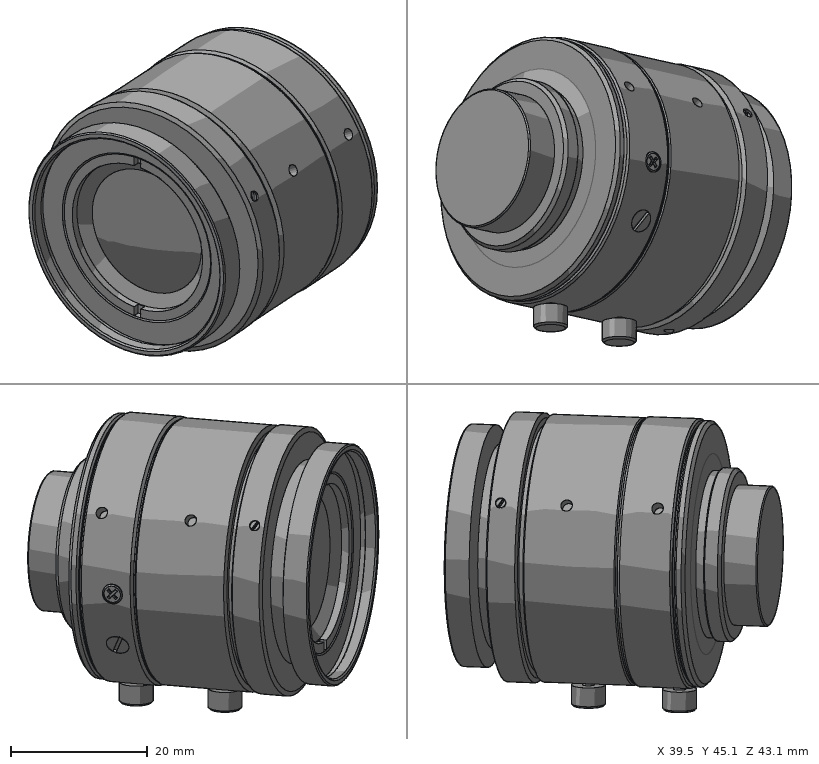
import cadquery as cq
import math

FULL_LENGTH = 45.15

RIM_END, RIM_DIA = 3.75, 35.5
FRONT_NECK_END, FRONT_NECK_DIA = 6.5, 30.0
FRONT_NECK_START = 4.5
FRONT_RING_END, RING_DIA = 11.2, 39.5
FRONT_GROOVE_END, FRONT_GROOVE_DIA = 11.95, 36.2
MIDDLE_RING_END, MIDDLE_RING_DIA = 25.85, 39.2
MIDDLE_GROOVE_END, MIDDLE_GROOVE_DIA = 26.1, 38.6
REAR_RING_END = 34.25
REAR_GROOVE_END, REAR_GROOVE_DIA = 34.55, 37.6
PLATE_END, PLATE_DIA = 36.1, 39.0
SHOULDER_END, SHOULDER_DIA = 36.4, 29.4
MOUNT_NECK_END, MOUNT_NECK_DIA = 37.6, 24.5
FLANGE_END, FLANGE_DIA = 40.2, 25.4
MOUNT_DIA = 20.55

NO_BREAK = (0, 0)
FINE_BREAK = (0.2, 0.2)
SMALL_BREAK = (0.3, 0.3)
MEDIUM_BREAK = (0.4, 0.4)
LARGE_BREAK = (0.5, 0.5)
STEEP_BREAK = (0.3, 0.7)

RECESS_RADIUS = 16.7
RECESS_UNDERCUT = 0.25
RIM_LEAD_IN = 0.25
RECESS_WALL_DEPTH = 1.8
RECESS_DEPTH = 2.6
RETAINER_RADIUS, RETAINER_GAP = 13.2, 0.25
RETAINER_DEPTH = 2.75
RETAINER_BORE_RADIUS = 11.75
CONE_DEPTH = 3.9
SPANNER_SLOT_WIDTH, SPANNER_SLOT_DEPTH = 1.2, 1.0

LENS_DIA = 19.7
LENS_EDGE_DEPTH = 5.1
LENS_CURVATURE = 42.0
LENS_EMBED = 1.0

RADIAL_HOLE_ANGLES = (30, 150)
THUMB_SCREW_ANGLE = 270
REAR_SCREW_Y = 31.65
MIDDLE_SCREW_Y = 18.1
FRONT_SCREW_Y = 8.3
LOCK_HOLE_DIA = 1.7
REAR_LOCK_HOLE_DEPTH, MIDDLE_LOCK_HOLE_DEPTH = 2.2, 1.6
SET_SCREW_DIA = 1.5
SET_SCREW_RECESS = 0.3
SET_SCREW_SLOT_WIDTH, SET_SCREW_SLOT_DEPTH = 0.35, 0.5
SET_SCREW_SLOT_TURN = 60

THUMB_HEAD_DIA, THUMB_HEAD_HEIGHT, THUMB_HEAD_CHAMFER = 5.0, 3.1, 0.3
THUMB_SHANK_DIA = 1.8
THUMB_GAP = 0.5
THUMB_SHANK_EMBED = 1.0

SIDE_SCREW_Y = 29.25
CROSS_SCREW_ANGLE, CROSS_SCREW_DIA, CROSS_SCREW_CHAMFER = 184.6, 3.0, 0.25
CROSS_LENGTH, CROSS_WIDTH, CROSS_TURN = 1.8, 0.4, 45
SLOTTED_SCREW_ANGLE, SLOTTED_SCREW_DIA = 210.4, 3.4
SCREW_SLOT_WIDTH, SCREW_SLOT_TURN = 0.5, 65
SIDE_SCREW_EMBED = 1.0
DRIVE_DEPTH = 0.5


def section(start, end, diameter, front_break=NO_BREAK, rear_break=NO_BREAK):
    """Outline points (radius, Y) of one cylindrical section with broken edges."""
    radius = diameter / 2
    points = [
        (radius - front_break[1], start),
        (radius, start + front_break[0]),
        (radius, end - rear_break[0]),
        (radius - rear_break[1], end),
    ]
    return list(dict.fromkeys(points))


def make_barrel():
    """Barrel with its stepped front recess, as one revolved profile."""
    outside = (
        section(0, RIM_END, RIM_DIA, FINE_BREAK)
        + section(FRONT_NECK_START, FRONT_NECK_END, FRONT_NECK_DIA)
        + section(FRONT_NECK_END, FRONT_RING_END, RING_DIA, STEEP_BREAK, STEEP_BREAK)
        + section(FRONT_RING_END, FRONT_GROOVE_END, FRONT_GROOVE_DIA)
        + section(FRONT_GROOVE_END, MIDDLE_RING_END, MIDDLE_RING_DIA, STEEP_BREAK, FINE_BREAK)
        + section(MIDDLE_RING_END, MIDDLE_GROOVE_END, MIDDLE_GROOVE_DIA)
        + section(MIDDLE_GROOVE_END, REAR_RING_END, RING_DIA, MEDIUM_BREAK, SMALL_BREAK)
        + section(REAR_RING_END, REAR_GROOVE_END, REAR_GROOVE_DIA)
        + section(REAR_GROOVE_END, PLATE_END, PLATE_DIA, SMALL_BREAK, LARGE_BREAK)
        + [(SHOULDER_DIA / 2, PLATE_END)]
        + section(SHOULDER_END, MOUNT_NECK_END, MOUNT_NECK_DIA)
        + section(MOUNT_NECK_END, FLANGE_END, FLANGE_DIA, FINE_BREAK, LARGE_BREAK)
        + section(FLANGE_END, FULL_LENGTH, MOUNT_DIA, rear_break=FINE_BREAK)
    )
    inside = [
        (LENS_DIA / 2, LENS_EDGE_DEPTH),
        (RETAINER_BORE_RADIUS, CONE_DEPTH),
        (RETAINER_BORE_RADIUS, RETAINER_DEPTH),
        (RETAINER_RADIUS, RETAINER_DEPTH),
        (RETAINER_RADIUS + RETAINER_GAP, RECESS_DEPTH),
        (RECESS_RADIUS + RECESS_UNDERCUT, RECESS_DEPTH),
        (RECESS_RADIUS + RECESS_UNDERCUT, RECESS_WALL_DEPTH),
        (RECESS_RADIUS, RECESS_WALL_DEPTH),
        (RECESS_RADIUS, RIM_LEAD_IN),
        (RECESS_RADIUS + RIM_LEAD_IN, 0),
    ]
    profile = cq.Workplane("XY").moveTo(0, LENS_EDGE_DEPTH)
    for point in inside + outside + [(0, FULL_LENGTH)]:
        profile = profile.lineTo(*point)
    return profile.close().revolve(360, (0, 0), (0, 1))


def add_lens(body):
    """Spherical front face of the lens, standing out of the bottom of the recess."""
    lens_radius = LENS_DIA / 2
    center_depth = LENS_EDGE_DEPTH + math.sqrt(LENS_CURVATURE**2 - lens_radius**2)
    rod = cq.Workplane("XZ").circle(lens_radius).extrude(-LENS_EDGE_DEPTH - LENS_EMBED)
    ball = cq.Workplane("XY").sphere(LENS_CURVATURE).translate((0, center_depth, 0))
    return body.union(rod.intersect(ball))


def radial_plane(angle, y, radius):
    """Workplane facing outward at the given angle, Y position and radius; its local x runs along Y."""
    outward = cq.Vector(math.cos(math.radians(angle)), 0, math.sin(math.radians(angle)))
    origin = outward * radius + cq.Vector(0, y, 0)
    return cq.Workplane(cq.Plane(origin=origin, xDir=(0, 1, 0), normal=outward))


def drive_slot(plane, length, width, depth, turn):
    """Straight screwdriver slot cut inward from the plane, turned about the screw axis."""
    return plane.transformed(rotate=(0, 0, turn)).rect(length, width).extrude(-depth)


def cut_spanner_slots(body):
    """Two opposite slots across the face of the retaining ring."""
    slot = (
        cq.Workplane("XZ", origin=(0, RETAINER_DEPTH, 0))
        .rect(SPANNER_SLOT_WIDTH, 2 * RETAINER_RADIUS)
        .extrude(-SPANNER_SLOT_DEPTH)
    )
    lens_space = cq.Workplane("XZ").circle(RETAINER_BORE_RADIUS).extrude(-FULL_LENGTH)
    return body.cut(slot.cut(lens_space))


def cut_lock_holes(body):
    """Blind radial holes, spaced a third of a turn from each other and from the thumb screws."""
    for y, ring_dia, depth in (
        (REAR_SCREW_Y, RING_DIA, REAR_LOCK_HOLE_DEPTH),
        (MIDDLE_SCREW_Y, MIDDLE_RING_DIA, MIDDLE_LOCK_HOLE_DEPTH),
    ):
        for angle in RADIAL_HOLE_ANGLES:
            plane = radial_plane(angle, y, ring_dia / 2)
            body = body.cut(plane.circle(LOCK_HOLE_DIA / 2).extrude(-depth))
    return body


def cut_set_screws(body):
    """Sunk set screws with a slot, three around the front ring."""
    face_radius = RING_DIA / 2 - SET_SCREW_RECESS
    for angle in (*RADIAL_HOLE_ANGLES, THUMB_SCREW_ANGLE):
        plane = radial_plane(angle, FRONT_SCREW_Y, face_radius)
        body = body.cut(plane.circle(SET_SCREW_DIA / 2).extrude(SET_SCREW_RECESS))
        slot = drive_slot(
            plane, SET_SCREW_DIA, SET_SCREW_SLOT_WIDTH, SET_SCREW_SLOT_DEPTH, SET_SCREW_SLOT_TURN
        )
        body = body.cut(slot.intersect(plane.circle(SET_SCREW_DIA / 2).extrude(-SET_SCREW_SLOT_DEPTH)))
    return body


def add_thumb_screws(body):
    """Locking screws under the rear and middle rings, with a plain head on a thin shank."""
    for y, ring_dia in ((REAR_SCREW_Y, RING_DIA), (MIDDLE_SCREW_Y, MIDDLE_RING_DIA)):
        head_radius = ring_dia / 2 + THUMB_GAP
        plane = radial_plane(THUMB_SCREW_ANGLE, y, head_radius)
        shank = plane.circle(THUMB_SHANK_DIA / 2).extrude(-THUMB_GAP - THUMB_SHANK_EMBED)
        head = plane.circle(THUMB_HEAD_DIA / 2).extrude(THUMB_HEAD_HEIGHT)
        head = head.faces("<Z").chamfer(THUMB_HEAD_CHAMFER)
        body = body.union(shank).union(head)
    return body


def add_side_screws(body):
    """A cross-recessed and a slotted screw, their flat heads tangent to the rear ring."""
    plane = radial_plane(CROSS_SCREW_ANGLE, SIDE_SCREW_Y, RING_DIA / 2)
    seat = plane.circle(CROSS_SCREW_DIA / 2).extrude(-SIDE_SCREW_EMBED)
    head = seat.faces("<X").chamfer(CROSS_SCREW_CHAMFER)
    body = body.cut(seat).union(head)
    for turn in (CROSS_TURN, CROSS_TURN + 90):
        body = body.cut(drive_slot(plane, CROSS_LENGTH, CROSS_WIDTH, DRIVE_DEPTH, turn))

    plane = radial_plane(SLOTTED_SCREW_ANGLE, SIDE_SCREW_Y, RING_DIA / 2)
    head = plane.circle(SLOTTED_SCREW_DIA / 2).extrude(-SIDE_SCREW_EMBED)
    slot = drive_slot(plane, SLOTTED_SCREW_DIA, SCREW_SLOT_WIDTH, DRIVE_DEPTH, SCREW_SLOT_TURN)
    return body.union(head).cut(slot.intersect(head))


result = make_barrel()
result = add_lens(result)
result = cut_spanner_slots(result)
result = cut_lock_holes(result)
result = cut_set_screws(result)
result = add_thumb_screws(result)
result = add_side_screws(result)